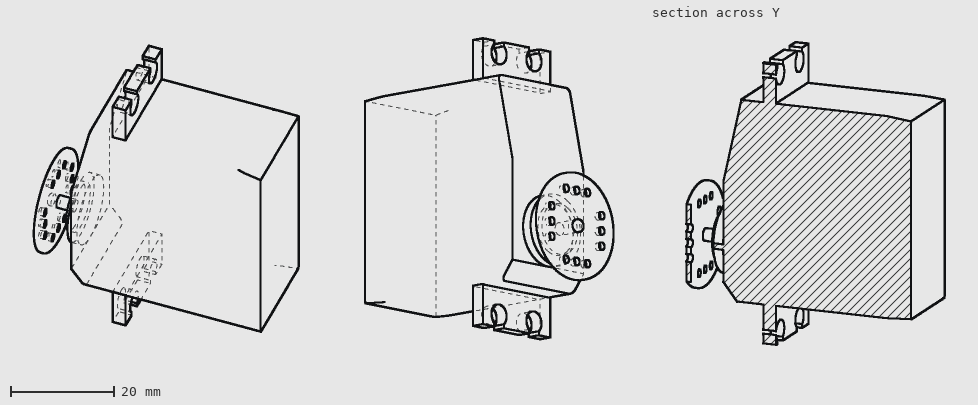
import cadquery as cq


overall_length = 48.0
overall_height = 56.31

shaft_reach = 8.6
case_length = overall_length - shaft_reach
case_width = 20.0
case_top = 30.0
case_bottom = -10.7
case_edge_radius = 1.0
front_face_top = 13.0
front_face_bottom = -7.0
top_slope_setback = 3.8
bottom_slope_setback = 2.9
rear_taper_length = 5.2
rear_taper_top_drop = 0.55
rear_taper_bottom_drop = 0.35

flange_front = 8.4
flange_thickness = 2.7
flange_width = 18.9
flange_top = 37.8
flange_bottom = flange_top - overall_height
mount_hole_diameter = 4.2
mount_hole_spacing = 9.8
mount_hole_inset = 2.4
mount_slot_width = 2.7

large_boss_diameter = 14.0
large_boss_length = 2.0
small_boss_diameter = 10.0
small_boss_reach = 3.1
shaft_diameter = 2.5
shaft_tip_radius = 0.5

disc_diameter = 21.0
disc_thickness = 1.1
disc_back = -6.6
disc_edge_radius = 0.25
disc_hole_diameter = 1.5
disc_hole_offset = 7.0
disc_hole_pitch = 3.0


def forward_cylinder(diameter, back, length):
    """Cylinder on the shaft axis that extends from X = back toward -X."""
    return cq.Workplane("YZ", origin=(back, 0, 0)).circle(diameter / 2).extrude(-length)


def make_case():
    """Case with sloped front corners, rounded long edges and tapered rear end."""
    profile = [
        (0, front_face_bottom),
        (0, front_face_top),
        (top_slope_setback, case_top),
        (case_length, case_top),
        (case_length, case_bottom),
        (bottom_slope_setback, case_bottom),
    ]
    case = cq.Workplane("XZ").polyline(profile).close().extrude(case_width / 2, both=True)
    case = case.faces("<Z or >Z").edges("|X").fillet(case_edge_radius)
    case = case.cut(rear_taper(case_top, -rear_taper_top_drop))
    return case.cut(rear_taper(case_bottom, rear_taper_bottom_drop))


def rear_taper(level, drop):
    """Wedge that slopes the top or bottom of the case at its rear end."""
    wedge = [
        (case_length - rear_taper_length, level),
        (case_length, level),
        (case_length, level + drop),
    ]
    return cq.Workplane("XZ").polyline(wedge).close().extrude(case_width / 2, both=True)


def make_flange():
    """Flange plate through the case, with two open-ended mounting holes at each end."""
    plate = cq.Workplane("XY").box(
        flange_thickness,
        flange_width,
        overall_height,
        centered=(False, True, False),
    )
    plate = plate.translate((flange_front, 0, flange_bottom))
    for end, inward in ((flange_top, -1), (flange_bottom, 1)):
        hole_z = end + inward * mount_hole_inset
        slot_z = end + inward * mount_hole_inset / 2
        for hole_y in (-mount_hole_spacing / 2, mount_hole_spacing / 2):
            face = cq.Workplane("YZ", origin=(flange_front, 0, 0))
            hole = face.center(hole_y, hole_z).circle(mount_hole_diameter / 2).extrude(flange_thickness)
            slot = face.center(hole_y, slot_z).rect(mount_slot_width, mount_hole_inset)
            plate = plate.cut(hole).cut(slot.extrude(flange_thickness))
    return plate


def make_output():
    """Stepped boss on the front face with the round-tipped output shaft."""
    large_boss = forward_cylinder(large_boss_diameter, 0, large_boss_length)
    small_boss = forward_cylinder(small_boss_diameter, 0, small_boss_reach)
    shaft = forward_cylinder(shaft_diameter, 0, shaft_reach)
    shaft = shaft.faces("<X").edges().fillet(shaft_tip_radius)
    return large_boss.union(small_boss).union(shaft)


def make_disc():
    """Round horn disc with a row of three linkage holes on each of four sides."""
    disc = forward_cylinder(disc_diameter, disc_back, disc_thickness)
    disc = disc.edges().fillet(disc_edge_radius)
    centers = []
    for side in (-disc_hole_offset, disc_hole_offset):
        for step in (-disc_hole_pitch, 0, disc_hole_pitch):
            centers.append((side, step))
            centers.append((step, side))
    holes = cq.Workplane("YZ", origin=(disc_back, 0, 0)).pushPoints(centers)
    return disc.cut(holes.circle(disc_hole_diameter / 2).extrude(-disc_thickness))


result = make_case().union(make_flange()).union(make_output()).union(make_disc())